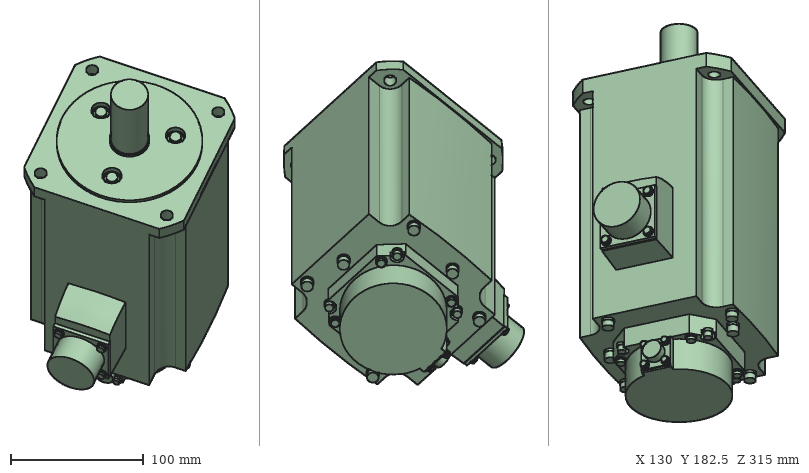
import cadquery as cq
import math


cover_top = 26.0
body_bottom = 42.5
flange_bottom = 240.0
flange_top = 252.0
pilot_height = 2.8
collar_height = 2.2
shaft_end = 315.0
pilot_top = flange_top + pilot_height

flange_width = 130.0
flange_half = flange_width / 2
flange_corner_dia = 165.0
mount_hole_dia = 9.0
mount_hole_offset = 51.5
pilot_dia = 110.0
collar_dia = 30.0
shaft_dia = 28.0

recess_circle_radius = 35.0
recess_dia = 14.5
recess_depth = 4.7
recess_washer_dia = 12.3
recess_head_dia = 8.8
recess_washer_height = 1.3
recess_head_height = 2.0

body_side_edge = 63.0
body_side_crest = 64.5
face_half = 42.5
notch_radius = 12.0
notch_outer = face_half + notch_radius

plate_half = 42.2
plate_chamfer = 15.5
cover_radius = 40.3

box_width = 46.5
box_bottom = 80.3
box_crest = 142.0
box_end = 94.0
box_draft = 2.0
roof_radius = 79.7
roof_crown_radius = 252.0
roof_clearance = 9.5
power_z = 104.5
power_pad_width = 44.7
power_pad_end = 97.0
power_plug_dia = 38.0
overall_depth = 182.5
power_plug_end = overall_depth - flange_half
power_screw_offset = 17.3
power_washer_dia = 7.5
power_washer_end = 98.5
power_head_dia = 6.0
power_head_end = 100.5

encoder_z = 13.5
encoder_block_end = 42.8
encoder_pad_width = 24.0
encoder_pad_end = 44.0
encoder_plug_dia = 15.0
encoder_plug_end = 51.7
encoder_screw_offset = 8.5
encoder_washer_dia = 6.3
encoder_washer_end = 46.0
encoder_head_dia = 5.0
encoder_head_end = 48.0

body_washer_dia = 9.8
body_washer_height = 2.0
body_head_dia = 8.8
side_screw_spot = (-33.0, -58.0)
side_screw_bottom = 36.0
inner_screw_spots = [(-50.5, -14.0), (50.5, -14.0), (0, 51.5)]
inner_screw_bottom = 35.0

plate_washer_height = 1.3
plate_screw_spot = (-36.5, -25.8)
plate_washer_dia = 8.5
plate_head_dia = 6.5
plate_screw_bottom = 22.5
sunk_screw_spot = (-31.0, -37.2)
sunk_washer_dia = 7.5
sunk_head_dia = 6.3
sunk_screw_bottom = 25.5
pocket_dia = 10.7
pocket_top = 31.2

overlap = 1.0


def disc(diameter, bottom, top, x=0, y=0):
    """Vertical cylinder between two heights."""
    return cq.Workplane("XY", origin=(x, y, bottom)).circle(diameter / 2).extrude(top - bottom)


def rod_toward_front(diameter, start, end, x, z):
    """Cylinder along -Y; start and end are distances in front of the shaft axis."""
    return cq.Workplane("XZ", origin=(x, -start, z)).circle(diameter / 2).extrude(end - start)


def block_toward_front(width, height, start, end, z):
    """Rectangular block along -Y, centred on X = 0."""
    return cq.Workplane("XZ", origin=(0, -start, z)).rect(width, height).extrude(end - start)


def quarter_turns(x, y):
    """Four positions reached by turning one position about the shaft axis."""
    return [(x, y), (-y, x), (-x, -y), (y, -x)]


def hanging_screw(x, y, seat, washer_dia, washer_height, head_dia, head_bottom):
    """Washer and screw head below a downward-facing seat."""
    washer = disc(washer_dia, seat - washer_height, seat + overlap, x, y)
    return washer.union(disc(head_dia, head_bottom, seat, x, y))


def make_flange():
    """Square plate with its corners rounded to a common circle."""
    flange = cq.Workplane("XY", origin=(0, 0, flange_bottom)).rect(flange_width, flange_width)
    flange = flange.extrude(flange_top - flange_bottom)
    return flange.intersect(disc(flange_corner_dia, flange_bottom, flange_top))


def make_body():
    """Square body with bulged X sides, flat Y sides and a filleted notch at each corner."""
    fillet_mid = notch_outer - notch_radius * math.sqrt(0.5)
    right_half = (
        cq.Workplane("XY", origin=(0, 0, body_bottom))
        .moveTo(0, -flange_half)
        .lineTo(face_half, -flange_half)
        .lineTo(face_half, -notch_outer)
        .threePointArc((fillet_mid, -fillet_mid), (notch_outer, -face_half))
        .lineTo(body_side_edge, -face_half)
        .threePointArc((body_side_crest, 0), (body_side_edge, face_half))
        .lineTo(notch_outer, face_half)
        .threePointArc((fillet_mid, fillet_mid), (face_half, notch_outer))
        .lineTo(face_half, flange_half)
        .lineTo(0, flange_half)
    )
    return right_half.mirrorY().extrude(flange_bottom - body_bottom)


def make_rear_plate():
    """Square plate with chamfered corners between the body and the encoder cover."""
    plate = cq.Workplane("XY", origin=(0, 0, cover_top)).rect(2 * plate_half, 2 * plate_half)
    return plate.extrude(body_bottom - cover_top).edges("|Z").chamfer(plate_chamfer)


def make_terminal_box():
    """Tapered block whose roof curves down toward the front and is crowned across its width."""
    block_height = box_crest + roof_clearance - box_bottom
    block = (
        cq.Workplane("XZ", origin=(0, -flange_half, box_bottom + block_height / 2))
        .rect(box_width, block_height)
        .extrude(box_end - flange_half, taper=box_draft)
    )
    drum_half = box_width / 2 + overlap
    drum_edge = roof_radius - drum_half**2 / (2 * roof_crown_radius)
    drum = (
        cq.Workplane("XY")
        .moveTo(-drum_half, 0)
        .lineTo(-drum_half, drum_edge)
        .threePointArc((0, roof_radius), (drum_half, drum_edge))
        .lineTo(drum_half, 0)
        .close()
        .revolve(360, (0, 0), (1, 0))
        .translate((0, -flange_half, box_crest - roof_radius))
    )
    return block.intersect(drum)


def front_screws(offset, z, seat, washer_dia, washer_end, head_dia, head_end):
    """Four washers and screw heads around a connector on the -Y side."""
    screws = cq.Workplane("XY")
    for x in (-offset, offset):
        for dz in (-offset, offset):
            screws = screws.union(rod_toward_front(washer_dia, seat - overlap, washer_end, x, z + dz))
            screws = screws.union(rod_toward_front(head_dia, seat, head_end, x, z + dz))
    return screws


def make_power_connector():
    """Square pad on the terminal box with a round plug and four screws."""
    pad = block_toward_front(power_pad_width, power_pad_width, box_end - overlap, power_pad_end, power_z)
    plug = rod_toward_front(power_plug_dia, power_pad_end - overlap, power_plug_end, 0, power_z)
    screws = front_screws(
        power_screw_offset,
        power_z,
        power_pad_end,
        power_washer_dia,
        power_washer_end,
        power_head_dia,
        power_head_end,
    )
    return pad.union(plug).union(screws)


def make_encoder_connector():
    """Block on the encoder cover with a square pad, a round plug and four screws."""
    block = block_toward_front(encoder_pad_width, cover_top, 0, encoder_block_end, cover_top / 2)
    pad = block_toward_front(
        encoder_pad_width, encoder_pad_width, encoder_block_end - overlap, encoder_pad_end, encoder_z
    )
    plug = rod_toward_front(encoder_plug_dia, encoder_pad_end - overlap, encoder_plug_end, 0, encoder_z)
    screws = front_screws(
        encoder_screw_offset,
        encoder_z,
        encoder_pad_end,
        encoder_washer_dia,
        encoder_washer_end,
        encoder_head_dia,
        encoder_head_end,
    )
    return block.union(pad).union(plug).union(screws)


motor = make_flange().union(make_body()).union(make_rear_plate())
motor = motor.union(disc(2 * cover_radius, 0, cover_top + overlap))
motor = motor.union(disc(pilot_dia, flange_top - overlap, pilot_top))
motor = motor.union(disc(collar_dia, flange_top, pilot_top + collar_height))
motor = motor.union(disc(shaft_dia, flange_top, shaft_end))

motor = motor.union(make_terminal_box()).union(make_power_connector())
motor = motor.union(make_encoder_connector())

for hole_x, hole_y in quarter_turns(mount_hole_offset, mount_hole_offset):
    motor = motor.cut(disc(mount_hole_dia, flange_bottom, flange_top, hole_x, hole_y))

recess_floor = pilot_top - recess_depth
washer_top = recess_floor + recess_washer_height
head_top = washer_top + recess_head_height
for angle in (30, 150, 270):
    recess_x = recess_circle_radius * math.cos(math.radians(angle))
    recess_y = recess_circle_radius * math.sin(math.radians(angle))
    motor = motor.cut(disc(recess_dia, recess_floor, pilot_top, recess_x, recess_y))
    motor = motor.union(disc(recess_washer_dia, recess_floor - overlap, washer_top, recess_x, recess_y))
    motor = motor.union(disc(recess_head_dia, recess_floor, head_top, recess_x, recess_y))

body_screws = [(x, y, side_screw_bottom) for x, y in quarter_turns(*side_screw_spot)]
body_screws += [(x, y, inner_screw_bottom) for x, y in inner_screw_spots]
for screw_x, screw_y, screw_bottom in body_screws:
    screw = hanging_screw(
        screw_x, screw_y, body_bottom, body_washer_dia, body_washer_height, body_head_dia, screw_bottom
    )
    motor = motor.union(screw)

for screw_x, screw_y in quarter_turns(*plate_screw_spot):
    screw = hanging_screw(
        screw_x, screw_y, cover_top, plate_washer_dia, plate_washer_height, plate_head_dia, plate_screw_bottom
    )
    motor = motor.union(screw)

for screw_x, screw_y in quarter_turns(*sunk_screw_spot):
    motor = motor.cut(disc(pocket_dia, cover_top, pocket_top, screw_x, screw_y))
    screw = hanging_screw(
        screw_x, screw_y, pocket_top, sunk_washer_dia, plate_washer_height, sunk_head_dia, sunk_screw_bottom
    )
    motor = motor.union(screw)

result = motor